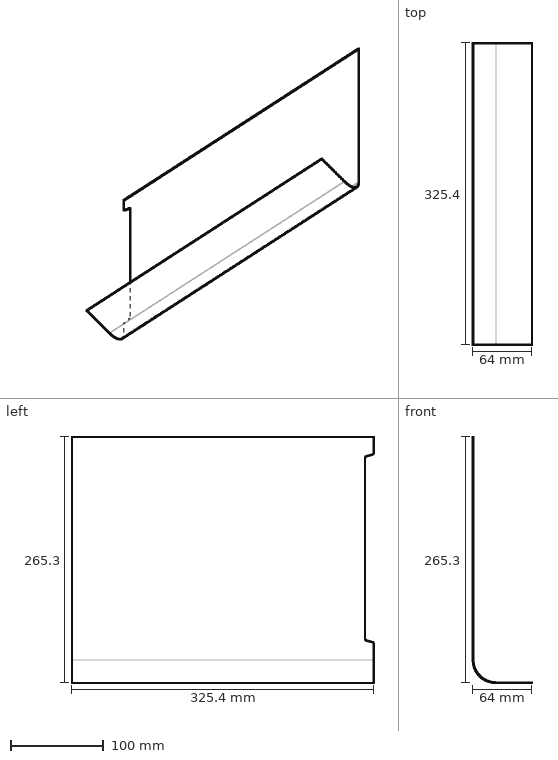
import cadquery as cq
import math

sheet_thickness = 0.8
flange_width = 64.05
sheet_length = 325.4
wall_height = 265.3
bend_outer_radius = 25.0
bend_inner_radius = bend_outer_radius - sheet_thickness

notch_depth = 9.3
notch_end_margin = 20.0
notch_slope_angle = 15.0
notch_corner_radius = 2.0


def bent_sheet():
    """L-shaped sheet: wall at X = 0, flange at Z = 0, joined by a round bend."""
    diagonal = math.sqrt(0.5)
    outer_mid = bend_outer_radius * (1 - diagonal)
    inner_mid = bend_outer_radius - bend_inner_radius * diagonal
    return (
        cq.Workplane("XZ")
        .moveTo(0, wall_height)
        .lineTo(0, bend_outer_radius)
        .threePointArc((outer_mid, outer_mid), (bend_outer_radius, 0))
        .lineTo(flange_width, 0)
        .lineTo(flange_width, sheet_thickness)
        .lineTo(bend_outer_radius, sheet_thickness)
        .threePointArc((inner_mid, inner_mid), (sheet_thickness, bend_outer_radius))
        .lineTo(sheet_thickness, wall_height)
        .close()
        .extrude(-sheet_length)
    )


def cut_edge_notch(sheet):
    """Cut the shallow notch with sloped ends and rounded corners into the wall's -Y edge."""
    half_rise = notch_depth / 2 * math.tan(math.radians(notch_slope_angle))
    lower_middle = bend_outer_radius + notch_end_margin
    upper_middle = wall_height - notch_end_margin
    notch = (
        cq.Workplane("YZ")
        .moveTo(0, lower_middle - half_rise)
        .lineTo(notch_depth, lower_middle + half_rise)
        .lineTo(notch_depth, upper_middle - half_rise)
        .lineTo(0, upper_middle + half_rise)
        .close()
        .extrude(sheet_thickness)
    )
    notched = sheet.cut(notch)

    corner_region = cq.selectors.BoxSelector(
        (0, -notch_depth, lower_middle - notch_end_margin / 2),
        (sheet_thickness, 2 * notch_depth, upper_middle + notch_end_margin / 2),
    )
    return notched.edges("|X").edges(corner_region).fillet(notch_corner_radius)


result = cut_edge_notch(bent_sheet())